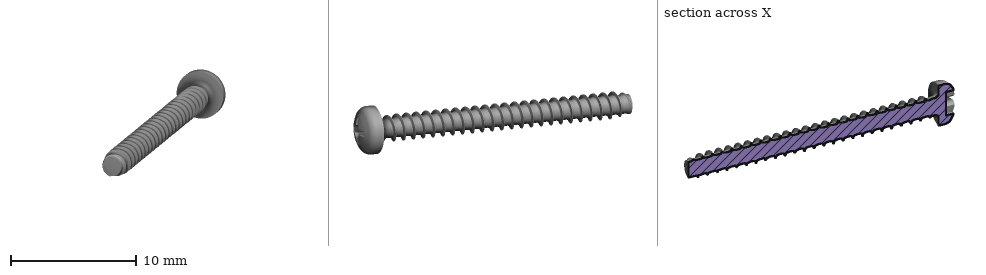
import cadquery as cq
import math


HEAD_RADIUS = 1.95
HEAD_HEIGHT = 1.60
HEAD_RIM_HEIGHT = 0.53
HEAD_CORNER_RADIUS = 0.71

RECESS_ARM_WIDTH = 0.43
RECESS_SPAN = 2.2
RECESS_CORE_RADIUS = 0.51
RECESS_DEPTH = 0.9

SHANK_LENGTH = 22.0
TIP_CONE_HEIGHT = 0.03
CORE_RADIUS = 0.77
NECK_RADIUS = 0.85
NECK_FILLET_RADIUS = 0.34
NECK_LENGTH = 0.51
NECK_TAPER_LENGTH = 0.34

THREAD_RADIUS = 1.1
PITCH = 0.85
CREST_HALF_WIDTH = 0.02
BLADE_HALF_WIDTH_AT_CORE = 0.13
FOOT_TOP_RADIUS = 0.82
HEAD_SIDE_FOOT_WIDTH = 0.34
TIP_SIDE_FOOT_WIDTH = 0.16
BURIED_RADIUS = 0.74
THREAD_TOP = -0.35
THREAD_BOTTOM = -21.95
CREST_AT_PLUS_X = -20.48
TOP_RUNOUT_LENGTH = 0.95
TOP_RUNOUT_DROP = 0.22
BOTTOM_RUNOUT_LENGTH = 1.3
BOTTOM_RUNOUT_DROP = 0.27
POINTS_PER_TURN = 16


def dome_profile():
    """Centre height, radius and edge point of the crown, tangent to the head's corner arc."""
    corner_centre = HEAD_RADIUS - HEAD_CORNER_RADIUS
    rise = HEAD_HEIGHT - HEAD_RIM_HEIGHT
    dome_radius = (rise**2 + corner_centre**2 - HEAD_CORNER_RADIUS**2) / (
        2 * (rise - HEAD_CORNER_RADIUS)
    )
    dome_centre = HEAD_HEIGHT - dome_radius
    half_angle = math.asin(corner_centre / (dome_radius - HEAD_CORNER_RADIUS))
    return dome_centre, dome_radius, half_angle


def on_arc(centre_r, centre_z, radius, angle):
    """Point on an arc, with the angle measured from the axis direction."""
    return centre_r + radius * math.sin(angle), centre_z + radius * math.cos(angle)


def make_body():
    """Head, neck and core turned as one profile."""
    dome_centre, dome_radius, half_angle = dome_profile()
    corner_centre = HEAD_RADIUS - HEAD_CORNER_RADIUS
    corner_mid_angle = (half_angle + math.pi / 2) / 2
    fillet_mid = NECK_FILLET_RADIUS * (1 - math.sqrt(0.5))
    return (
        cq.Workplane("XZ")
        .moveTo(0, -SHANK_LENGTH)
        .lineTo(CORE_RADIUS, -SHANK_LENGTH + TIP_CONE_HEIGHT)
        .lineTo(CORE_RADIUS, -NECK_LENGTH - NECK_TAPER_LENGTH)
        .lineTo(NECK_RADIUS, -NECK_LENGTH)
        .lineTo(NECK_RADIUS, -NECK_FILLET_RADIUS)
        .threePointArc(
            (NECK_RADIUS + fillet_mid, -fillet_mid),
            (NECK_RADIUS + NECK_FILLET_RADIUS, 0),
        )
        .lineTo(HEAD_RADIUS, 0)
        .lineTo(HEAD_RADIUS, HEAD_RIM_HEIGHT)
        .threePointArc(
            on_arc(corner_centre, HEAD_RIM_HEIGHT, HEAD_CORNER_RADIUS, corner_mid_angle),
            on_arc(0, dome_centre, dome_radius, half_angle),
        )
        .threePointArc(
            on_arc(0, dome_centre, dome_radius, half_angle / 2),
            (0, HEAD_HEIGHT),
        )
        .close()
        .revolve(360, (0, 0, 0), (0, 1, 0))
    )


def make_recess():
    """Two crossed bars around a round core, cut down into the crown."""
    floor = cq.Workplane("XY").workplane(offset=HEAD_HEIGHT - RECESS_DEPTH)
    along_x = floor.rect(RECESS_SPAN, RECESS_ARM_WIDTH).extrude(HEAD_HEIGHT)
    along_y = floor.rect(RECESS_ARM_WIDTH, RECESS_SPAN).extrude(HEAD_HEIGHT)
    core = floor.circle(RECESS_CORE_RADIUS).extrude(HEAD_HEIGHT)
    return along_x.union(along_y).union(core)


def runout_drop(z):
    """How far the blade's crest has sunk towards the axis at height z."""
    top_share = 1 - (THREAD_TOP - z) / TOP_RUNOUT_LENGTH
    bottom_share = 1 - (z - THREAD_BOTTOM) / BOTTOM_RUNOUT_LENGTH
    return max(0, top_share) * TOP_RUNOUT_DROP + max(0, bottom_share) * BOTTOM_RUNOUT_DROP


def thread_corner_edge(radius, offset):
    """One corner of the rib followed along the whole thread; only the crest sinks at the ends."""
    length = THREAD_TOP - THREAD_BOTTOM
    count = math.ceil(length / PITCH * POINTS_PER_TURN)
    points = []
    for step in range(count + 1):
        z = THREAD_BOTTOM + length * step / count
        angle = 2 * math.pi * (z - CREST_AT_PLUS_X) / PITCH
        r = radius - runout_drop(z) if radius == THREAD_RADIUS else radius
        points.append(cq.Vector(r * math.cos(angle), r * math.sin(angle), z + offset))
    return cq.Edge.makeSpline(points)


def make_thread():
    """Closed rib built from ruled strips between its corners, capped at both ends."""
    flank_slope = (BLADE_HALF_WIDTH_AT_CORE - CREST_HALF_WIDTH) / (THREAD_RADIUS - CORE_RADIUS)
    foot_top_width = CREST_HALF_WIDTH + flank_slope * (THREAD_RADIUS - FOOT_TOP_RADIUS)
    head_side_slope = (HEAD_SIDE_FOOT_WIDTH - foot_top_width) / (FOOT_TOP_RADIUS - CORE_RADIUS)
    tip_side_slope = (TIP_SIDE_FOOT_WIDTH - foot_top_width) / (FOOT_TOP_RADIUS - CORE_RADIUS)
    corners = [
        (BURIED_RADIUS, HEAD_SIDE_FOOT_WIDTH + head_side_slope * (CORE_RADIUS - BURIED_RADIUS)),
        (FOOT_TOP_RADIUS, foot_top_width),
        (THREAD_RADIUS, CREST_HALF_WIDTH),
        (THREAD_RADIUS, -CREST_HALF_WIDTH),
        (FOOT_TOP_RADIUS, -foot_top_width),
        (BURIED_RADIUS, -TIP_SIDE_FOOT_WIDTH - tip_side_slope * (CORE_RADIUS - BURIED_RADIUS)),
    ]
    edges = [thread_corner_edge(*corner) for corner in corners]
    faces = [
        cq.Face.makeRuledSurface(edge, following)
        for edge, following in zip(edges, edges[1:] + edges[:1])
    ]
    for end in (0, 1):
        cap = [edge.positionAt(end) for edge in edges]
        faces.append(cq.Face.makeFromWires(cq.Wire.makePolygon(cap, close=True)))
    return cq.Workplane(cq.Solid.makeSolid(cq.Shell.makeShell(faces)))


def make_thread_room():
    """Cylinder from the end of the neck to the tip, which trims the thread's ends."""
    return (
        cq.Workplane("XY")
        .workplane(offset=-SHANK_LENGTH + TIP_CONE_HEIGHT)
        .circle(2 * THREAD_RADIUS)
        .extrude(SHANK_LENGTH - TIP_CONE_HEIGHT - NECK_LENGTH)
    )


thread = make_thread().intersect(make_thread_room())
screw = make_body().cut(make_recess()).union(thread)
result = screw.rotate((0, 0, 0), (1, 0, 0), -90)